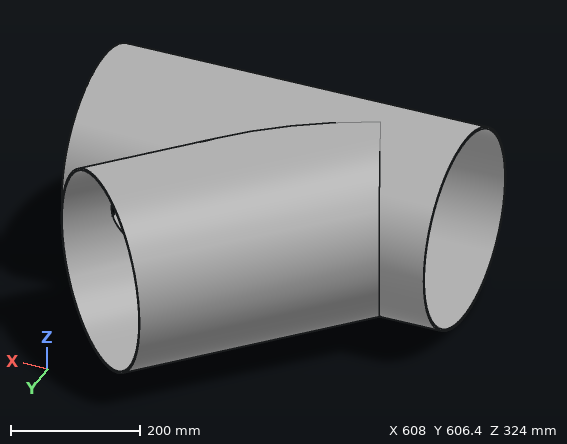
import cadquery as cq


outer_diameter = 324.0
inner_diameter = 318.0
run_length = 608.0
branch_angle = 45.0
junction_distance = 141.5

run_start_x = -run_length / 2
junction_x = run_start_x + junction_distance
branch_length = run_length - junction_distance


def run_cylinder(diameter):
    """Cylinder along X over the full length of the run."""
    return cq.Workplane("YZ").workplane(offset=run_start_x).circle(diameter / 2).extrude(run_length)


def branch_cylinder(diameter):
    """Cylinder from the axis crossing to the end of the branch."""
    along_x = cq.Workplane("YZ").workplane(offset=junction_x).circle(diameter / 2).extrude(branch_length)
    return along_x.rotate((junction_x, 0, 0), (junction_x, 0, 1), branch_angle)


def lateral(diameter):
    """Run and branch of one diameter, joined into a single body."""
    return run_cylinder(diameter).union(branch_cylinder(diameter))


result = lateral(outer_diameter).cut(lateral(inner_diameter))